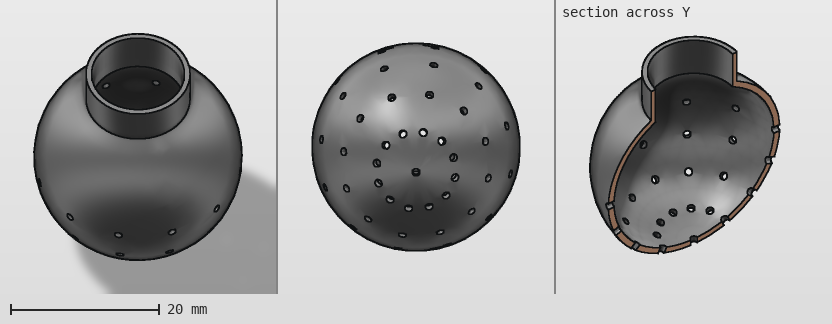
import cadquery as cq
import math

total_height = 31.4
sphere_diameter = 28.0
neck_diameter = 14.0
bore_diameter = 12.5
ball_wall = 1.0
hole_diameter = 1.0
holes_per_row = 12
row_latitudes = [0, -22.5, -45, -67.5]

sphere_radius = sphere_diameter / 2
cavity_radius = sphere_radius - ball_wall
pole_rim_depth = math.sqrt(sphere_radius**2 - (hole_diameter / 2) ** 2)
neck_top = total_height - pole_rim_depth


def spray_hole(latitude, longitude):
    """Radial drill that starts in the cavity and runs out through the ball wall."""
    lat = math.radians(latitude)
    lon = math.radians(longitude)
    direction = cq.Vector(
        math.cos(lat) * math.cos(lon),
        math.cos(lat) * math.sin(lon),
        math.sin(lat),
    )
    start = direction * (cavity_radius - ball_wall)
    return cq.Solid.makeCylinder(hole_diameter / 2, 3 * ball_wall, start, direction)


neck = cq.Workplane("XY").circle(neck_diameter / 2).extrude(neck_top)
bore = cq.Workplane("XY").circle(bore_diameter / 2).extrude(neck_top)
cavity = cq.Workplane("XY").sphere(cavity_radius)
body = cq.Workplane("XY").sphere(sphere_radius).union(neck).cut(cavity).cut(bore)

holes = [spray_hole(-90, 0)]
for latitude in row_latitudes:
    for index in range(holes_per_row):
        holes.append(spray_hole(latitude, index * 360 / holes_per_row))

result = body.cut(cq.Workplane("XY").newObject([cq.Compound.makeCompound(holes)]))